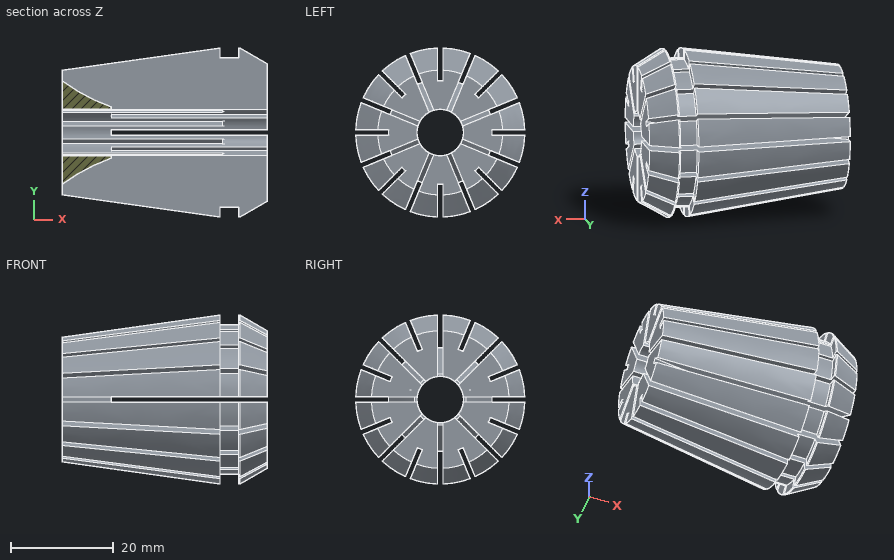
import cadquery as cq
import math


length = 40.0
max_radius = 16.5
bore_radius = 4.5

taper_length = 30.8
taper_half_angle = 8.0
narrow_end_radius = max_radius - taper_length * math.tan(math.radians(taper_half_angle))

groove_width = 3.6
groove_radius = 14.6
groove_end = taper_length + groove_width

land_width = 0.25
nose_half_angle = 30.0
land_end = groove_end + land_width
nose_end_radius = max_radius - (length - land_end) * math.tan(math.radians(nose_half_angle))

slot_width = 1.0
slots_per_end = 8
slot_pitch = 360.0 / slots_per_end
saw_radius = 37.0
narrow_web_length = 9.6
narrow_web_radius = 10.1
narrow_web_tip_radius = 5.0
wide_web_length = 8.8
wide_web_radius = 10.4
bore_edge_height = math.sqrt(bore_radius**2 - (slot_width / 2) ** 2)

cut_margin = 1.0
cutter_height = max_radius + cut_margin


def make_body():
    """Revolve the half profile, including the bore, about the X axis."""
    profile = [
        (0, bore_radius),
        (0, narrow_end_radius),
        (taper_length, max_radius),
        (taper_length, groove_radius),
        (groove_end, groove_radius),
        (groove_end, max_radius),
        (land_end, max_radius),
        (length, nose_end_radius),
        (length, bore_radius),
    ]
    return cq.Workplane("XY").polyline(profile).close().revolve(360, (0, 0, 0), (1, 0, 0))


def make_slot(web_length, web_radius, tip_radius):
    """Slot cutter pointing along +Z, with the web at the X = 0 end."""
    outline = (
        cq.Workplane("XZ")
        .moveTo(0, web_radius)
        .radiusArc((web_length, tip_radius), -saw_radius)
        .lineTo(web_length, 0)
        .lineTo(length + cut_margin, 0)
        .lineTo(length + cut_margin, cutter_height)
        .lineTo(-cut_margin, cutter_height)
        .lineTo(-cut_margin, web_radius)
        .close()
    )
    return outline.extrude(slot_width / 2, both=True)


def cut_slots(body, slot, first_angle):
    """Cut evenly spaced copies of the slot around the X axis."""
    for index in range(slots_per_end):
        angle = first_angle + index * slot_pitch
        body = body.cut(slot.rotate((0, 0, 0), (1, 0, 0), angle))
    return body


wide_end_slot = make_slot(narrow_web_length, narrow_web_radius, narrow_web_tip_radius)
narrow_end_slot = make_slot(wide_web_length, wide_web_radius, bore_edge_height)
narrow_end_slot = narrow_end_slot.mirror("YZ").translate((length, 0, 0))

result = make_body()
result = cut_slots(result, wide_end_slot, 0)
result = cut_slots(result, narrow_end_slot, slot_pitch / 2)